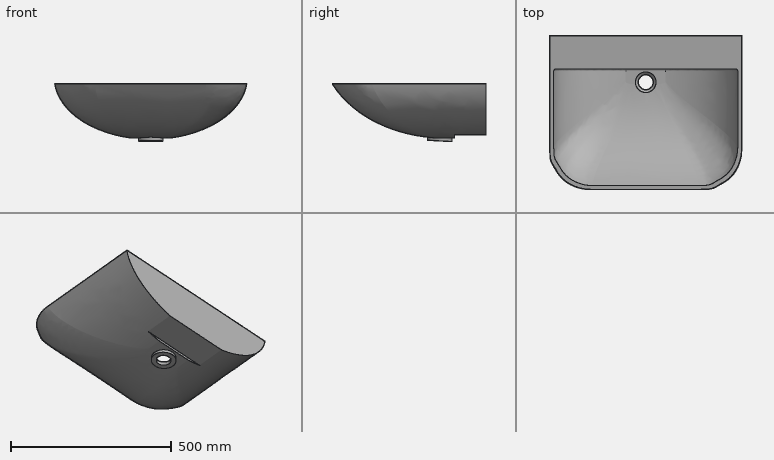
import cadquery as cq
import math

width = 599.5
length = 480.0
bowl_start_y = -127.0
side_depth = 172.5
front_depth = 169.0
shell_floor = 168.5
rim_thickness = 12.5
rim_chamfer = 1.0

side_slope = 0.2
front_slope = 0.6
corner_share_x = 0.42
corner_share_y = 0.35
section_levels = 8
corner_steps = 4

rear_floor = 160.0
rear_step_y = -98.5
basin_back_y = -103.0
basin_fillet = 8.0

drain_y = -145.0
drain_diameter = 46.0
drain_seat_diameter = 64.0
drain_seat_depth = 9.0
boss_diameter = 77.5
boss_bottom = 181.0
boss_tilt = 3.0


def profile(depth, closing_depth, slope):
    """Remaining fraction of the rim reach on an elliptical side profile."""
    fraction = depth / closing_depth
    return math.sqrt(1 - slope * fraction - (1 - slope) * fraction**2)


def bowl_section(depth, inset, back_y):
    """Outline at one depth: straight back and sides, elliptical front corners."""
    half_width = (width / 2 - inset) * profile(depth, side_depth - inset, side_slope)
    reach = (length + bowl_start_y - inset) * profile(depth, front_depth - inset, front_slope)
    corner_x = corner_share_x * half_width
    corner_y = corner_share_y * reach
    front_y = bowl_start_y - reach
    corner_start_y = front_y + corner_y
    flat_end_x = half_width - corner_x

    def corner(side):
        points = []
        for step in range(corner_steps + 1):
            angle = math.pi / 2 * step / corner_steps
            points.append(cq.Vector(
                side * (flat_end_x + corner_x * math.cos(angle)),
                corner_start_y - corner_y * math.sin(angle),
                -depth,
            ))
        return points

    right = corner(1)
    left = corner(-1)[::-1]
    back_right = cq.Vector(half_width, back_y, -depth)
    back_left = cq.Vector(-half_width, back_y, -depth)
    toward_front = cq.Vector(0, -1, 0)
    along_x = cq.Vector(-1, 0, 0)
    return cq.Wire.assembleEdges([
        cq.Edge.makeLine(back_right, right[0]),
        cq.Edge.makeSpline(right, tangents=[toward_front, along_x]),
        cq.Edge.makeLine(right[-1], left[0]),
        cq.Edge.makeSpline(left, tangents=[along_x, toward_front * -1]),
        cq.Edge.makeLine(left[-1], back_left),
        cq.Edge.makeLine(back_left, back_right),
    ])


def bowl(inset, back_y):
    """Solid bowl; the levels crowd together towards the flat bottom."""
    floor = shell_floor - inset
    sections = []
    for level in range(section_levels + 1):
        depth = floor * math.sin(math.pi / 2 * level / section_levels)
        sections.append(bowl_section(depth, inset, back_y))
    return cq.Workplane(obj=cq.Solid.makeLoft(sections))


def cylinder(diameter, top, bottom):
    """Vertical cylinder on the drain axis between two depths."""
    return (
        cq.Workplane("XY", origin=(0, drain_y, -bottom))
        .circle(diameter / 2)
        .extrude(bottom - top)
    )


rim_edge = cq.Solid.makeLoft([
    bowl_section(0, rim_chamfer, 0).translate(cq.Vector(0, 0, rim_chamfer)),
    bowl_section(0, 0, 0),
], True)
shell = bowl(0, 0).union(cq.Workplane(obj=rim_edge)).translate((0, 0, -rim_chamfer))
underside_step = cq.Workplane("XY").box(
    width, -rear_step_y, boss_bottom, centered=(True, False, False)
).translate((0, rear_step_y, -rear_floor - boss_bottom))
shell = shell.cut(underside_step)

basin = bowl(rim_thickness, basin_back_y)
basin = basin.faces(">Y").edges("not(>Z)").fillet(basin_fillet)

basin_floor = shell_floor - rim_thickness
boss = cylinder(boss_diameter, basin_floor, boss_bottom)
boss_trim = (
    cq.Workplane("XY", origin=(0, drain_y + boss_diameter / 2, -boss_bottom))
    .transformed(rotate=(-boss_tilt, 0, 0))
    .rect(width, width)
    .extrude(-boss_diameter)
)
boss = boss.cut(boss_trim)

drain_hole = cylinder(drain_diameter, 0, boss_bottom)
drain_recess = cylinder(drain_seat_diameter, 0, basin_floor)
drain_seat = cq.Workplane(obj=cq.Solid.makeCone(
    drain_diameter / 2,
    drain_seat_diameter / 2,
    drain_seat_depth,
    pnt=cq.Vector(0, drain_y, -basin_floor - drain_seat_depth),
))

result = shell.union(boss).cut(basin).cut(drain_recess).cut(drain_seat).cut(drain_hole)